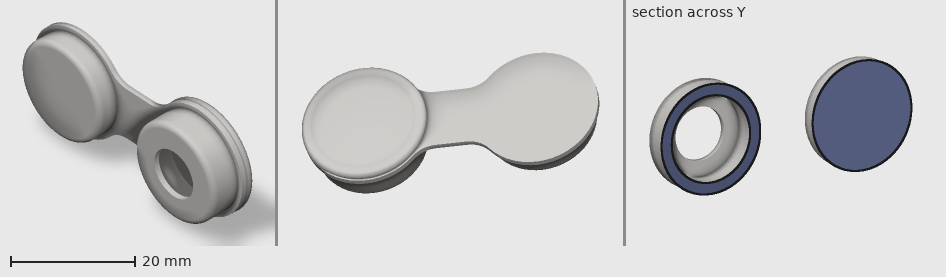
import cadquery as cq
import math

HEAD_SPACING = 28.0
HEAD_RADIUS = 20.4 / 2
BRIDGE_HALF_WIDTH = 5.0
BRIDGE_BLEND_RADIUS = 5.0
PLATE_THICKNESS = 1.0
BOSS_RADIUS = 9.2
BOSS_EDGE_FILLET = 1.0
STUD_HEIGHT = 4.0

BARREL_HEIGHT = 5.45
BARREL_WALL = 2.0
BARREL_FLOOR = 1.0
WINDOW_RADIUS = 4.5
RIM_RADIUS = 20.5 / 2
RIM_THICKNESS = 1.7
DOME_RADIUS = 8.5
DOME_RISE = 0.85
CAVITY_DEPTH = 4.75
CAVITY_FILLET = 0.25

PLATE_FRONT = -PLATE_THICKNESS
STUD_FRONT = PLATE_FRONT - STUD_HEIGHT
BARREL_FRONT = PLATE_FRONT - BARREL_HEIGHT
CAVITY_FLOOR = BARREL_FRONT + BARREL_FLOOR
CAVITY_RADIUS = BOSS_RADIUS - BARREL_WALL
DOME_APEX = RIM_THICKNESS + DOME_RISE
STUD_X = -HEAD_SPACING / 2
BUTTON_X = HEAD_SPACING / 2


def y_cylinder(x, radius, y_start, y_end):
    """Cylinder along Y between two Y positions."""
    return (
        cq.Workplane("XZ", origin=(x, y_end, 0))
        .circle(radius)
        .extrude(y_end - y_start)
    )


def make_plate():
    """Two round heads joined by a bridge with tangent blends."""
    blend_z = BRIDGE_HALF_WIDTH + BRIDGE_BLEND_RADIUS
    center_distance = HEAD_RADIUS + BRIDGE_BLEND_RADIUS
    blend_dx = math.sqrt(center_distance**2 - blend_z**2)
    blend_x = BUTTON_X - blend_dx
    head_fraction = HEAD_RADIUS / center_distance
    head_x = BUTTON_X - blend_dx * head_fraction
    head_z = blend_z * head_fraction
    turn = math.atan2(blend_dx, blend_z) / 2
    mid_x = blend_x + BRIDGE_BLEND_RADIUS * math.sin(turn)
    mid_z = blend_z - BRIDGE_BLEND_RADIUS * math.cos(turn)
    tip_x = BUTTON_X + HEAD_RADIUS
    return (
        cq.Workplane("XZ")
        .moveTo(-blend_x, BRIDGE_HALF_WIDTH)
        .lineTo(blend_x, BRIDGE_HALF_WIDTH)
        .threePointArc((mid_x, mid_z), (head_x, head_z))
        .threePointArc((tip_x, 0), (head_x, -head_z))
        .threePointArc((mid_x, -mid_z), (blend_x, -BRIDGE_HALF_WIDTH))
        .lineTo(-blend_x, -BRIDGE_HALF_WIDTH)
        .threePointArc((-mid_x, -mid_z), (-head_x, -head_z))
        .threePointArc((-tip_x, 0), (-head_x, head_z))
        .threePointArc((-mid_x, mid_z), (-blend_x, BRIDGE_HALF_WIDTH))
        .close()
        .extrude(PLATE_THICKNESS)
    )


def make_boss(x, front):
    """Round boss with a filleted front edge, ending at the back of the plate."""
    return y_cylinder(x, BOSS_RADIUS, front, 0).faces("<Y").edges().fillet(BOSS_EDGE_FILLET)


def make_strap():
    """Plate with its stud and the ring hole that holds the button barrel."""
    ring_hole = y_cylinder(BUTTON_X, BOSS_RADIUS, PLATE_FRONT, 0)
    return make_plate().union(make_boss(STUD_X, STUD_FRONT)).cut(ring_hole)


def revolve_about_button(profile):
    """Revolve a closed half profile, drawn as (radius, Y), about the button axis."""
    return profile.close().revolve(360, (0, 0, 0), (0, 1, 0)).translate((BUTTON_X, 0, 0))


def dome_drop(radius):
    """Fall of the spherical dome below its apex at the given radius."""
    sphere_radius = (DOME_RADIUS**2 + DOME_RISE**2) / (2 * DOME_RISE)
    return sphere_radius - math.sqrt(sphere_radius**2 - radius**2)


def make_cap():
    """Disc with a half-round rim and a domed back."""
    rim_round = RIM_THICKNESS / 2
    rim_center_radius = RIM_RADIUS - rim_round
    return revolve_about_button(
        cq.Workplane("XY")
        .lineTo(rim_center_radius, 0)
        .threePointArc((RIM_RADIUS, rim_round), (rim_center_radius, RIM_THICKNESS))
        .lineTo(DOME_RADIUS, RIM_THICKNESS)
        .threePointArc(
            (DOME_RADIUS / 2, DOME_APEX - dome_drop(DOME_RADIUS / 2)),
            (0, DOME_APEX),
        )
    )


def make_cavity():
    """Space inside the barrel, with a filleted ceiling that follows the dome."""
    ceiling_edge = CAVITY_FLOOR + CAVITY_DEPTH
    ceiling_apex = ceiling_edge + dome_drop(CAVITY_RADIUS)
    cavity = revolve_about_button(
        cq.Workplane("XY")
        .moveTo(0, CAVITY_FLOOR)
        .lineTo(CAVITY_RADIUS, CAVITY_FLOOR)
        .lineTo(CAVITY_RADIUS, ceiling_edge)
        .threePointArc(
            (CAVITY_RADIUS / 2, ceiling_apex - dome_drop(CAVITY_RADIUS / 2)),
            (0, ceiling_apex),
        )
    )
    ceiling_rim = cq.selectors.NearestToPointSelector((BUTTON_X, ceiling_edge, 0))
    return cavity.edges(ceiling_rim).fillet(CAVITY_FILLET)


def make_button():
    """Barrel and cap in one piece, hollow, with a round window in the barrel floor."""
    window = y_cylinder(BUTTON_X, WINDOW_RADIUS, BARREL_FRONT, CAVITY_FLOOR)
    solid_button = make_boss(BUTTON_X, BARREL_FRONT).union(make_cap())
    return solid_button.cut(make_cavity()).cut(window)


strap = make_strap()
button = make_button()

result = cq.Compound.makeCompound([strap.val(), button.val()])